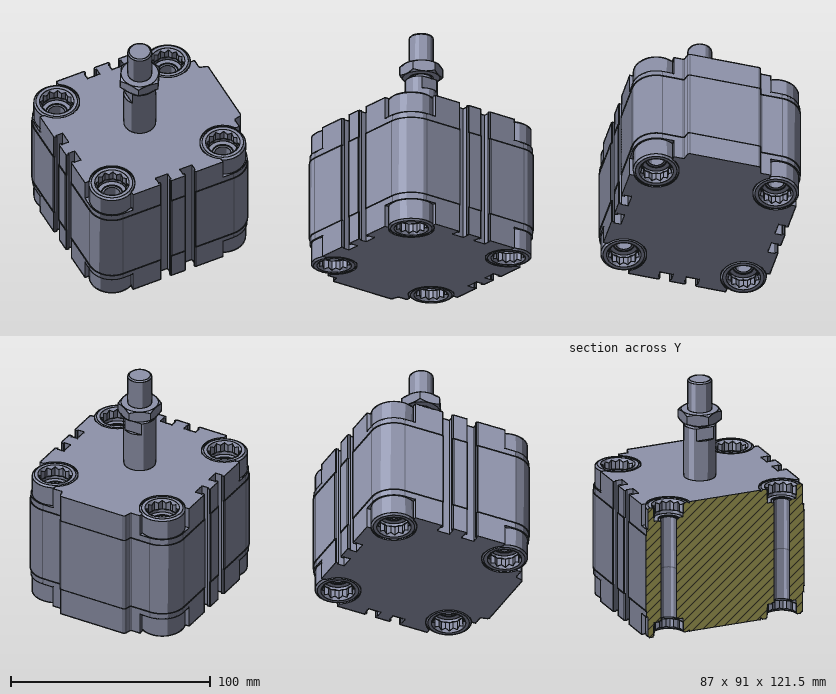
import cadquery as cq
import math


body_width = 87.0
body_height = 69.7
screw_spacing = 62.0
barrel_corner_radius = (body_width - screw_spacing) / 2
cap_height = 14.6
cap_inset = 0.4
cap_ledge_inset = 0.1

ledge_height = 4.0
ledge_base_width = 39.9
ledge_top_width = 37.7
ledge_top_radius = 1.2
ledge_foot_radius = 0.7

slot_offset = 6.8
slot_depth = 5.5
slot_inner_width = 6.8
slot_mouth_width = 5.2
slot_lip = 1.8
slot_mouth_chamfer = 0.5

pocket_depth = 11.3
pocket_edge = 25.2
head_diameter = 23.0
head_chamfer_width = 1.1
head_chamfer_height = 0.9

socket_rim_diameter = 17.3
socket_rim_angle = 50.0
socket_corner_diameter = 16.0
socket_points = 12
socket_spline_end = 5.7
socket_floor_diameter = 15.4
socket_depth = 7.5
bolt_hole_diameter = 8.3
seat_top_diameter = 10.7
seat_floor_diameter = 10.5
seat_depth = 0.5

total_height = 121.5
rod_diameter = 16.0
shoulder_z = 97.5
rod_flats_width = 13.0
rod_flats_length = 6.5
undercut_diameter = 10.5
thread_diameter = 12.0
thread_chamfer = 0.7

nut_width = 19.0
nut_height = 6.0
nut_bottom_z = 99.5
nut_face_diameter = 18.7
nut_chamfer_angle = 30.0


def cylinder(diameter, bottom_z, top_z):
    return cq.Workplane("XY").workplane(offset=bottom_z).circle(diameter / 2).extrude(top_z - bottom_z)


def cone(bottom_diameter, top_diameter, bottom_z, top_z):
    profile = [
        (0, bottom_z),
        (bottom_diameter / 2, bottom_z),
        (top_diameter / 2, top_z),
        (0, top_z),
    ]
    return cq.Workplane("XZ").polyline(profile).close().revolve(360, (0, 0, 0), (0, 1, 0))


def ledge(inset, side_y):
    """Sloping pad that rises from the +Y side at side_y."""
    top_y = body_width / 2 + ledge_height - inset
    half_base = ledge_base_width / 2 - inset
    half_top = ledge_top_width / 2 - inset
    outline = [
        (-half_base, 0),
        (-half_base, side_y),
        (-half_top, top_y),
        (half_top, top_y),
        (half_base, side_y),
        (half_base, 0),
    ]
    pad = cq.Workplane("XY").polyline(outline).close().extrude(body_height)
    return pad.faces(">Y").edges("|Z").fillet(ledge_top_radius)


def sensor_slot(side_angle, offset, side_distance):
    """T-shaped slot with a chamfered mouth, in the side at side_distance that faces side_angle."""
    lip_x = body_width / 2 - slot_lip
    half_mouth = slot_mouth_width / 2
    half_inner = slot_inner_width / 2
    half_profile = [
        (body_width / 2 - slot_depth, half_inner),
        (lip_x, half_inner),
        (lip_x, half_mouth),
        (side_distance - slot_mouth_chamfer, half_mouth),
        (side_distance, half_mouth + slot_mouth_chamfer),
    ]
    profile = half_profile + [(x, -y) for x, y in reversed(half_profile)]
    slot = cq.Workplane("XY").polyline(profile).close().extrude(body_height)
    return slot.translate((0, offset, 0)).rotate((0, 0, 0), (0, 0, 1), side_angle)


def housing_section(inset, ledge_inset, bottom_z, top_z):
    """Slotted profile between two heights, its sides set back by the insets."""
    width = body_width - 2 * inset
    profile = cq.Workplane("XY").rect(width, width).extrude(body_height)
    profile = profile.edges("|Z").fillet(barrel_corner_radius - inset)
    profile = profile.union(ledge(ledge_inset, width / 2))
    foot_x = ledge_base_width / 2 - ledge_inset
    for x in (-foot_x, foot_x):
        foot = cq.selectors.NearestToPointSelector((x, width / 2, body_height / 2))
        profile = profile.edges(foot).fillet(ledge_foot_radius)
    for side_angle in (0, 180, 270):
        for offset in (-slot_offset, slot_offset):
            profile = profile.cut(sensor_slot(side_angle, offset, width / 2))
    layer = cq.Workplane("XY").workplane(offset=bottom_z).rect(2 * body_width, 2 * body_width)
    return profile.intersect(layer.extrude(top_z - bottom_z))


def corner_pocket():
    """Pocket for the +X +Y screw at the top end, open at the housing's corner."""
    floor_z = body_height - pocket_depth
    size = body_width / 2 - pocket_edge
    corner = cq.Workplane("XY").box(size, size, pocket_depth, centered=False)
    corner = corner.translate((pocket_edge, pocket_edge, floor_z))
    bore = cylinder(head_diameter, floor_z, body_height)
    return corner.union(bore.translate((screw_spacing / 2, screw_spacing / 2, 0)))


def screw_head():
    floor_z = body_height - pocket_depth
    head = cylinder(head_diameter, floor_z, body_height)
    head = head.faces(">Z").chamfer(head_chamfer_height, head_chamfer_width)
    return head.translate((screw_spacing / 2, screw_spacing / 2, 0))


def socket():
    """Twelve-point socket of the +X +Y screw head, down to the middle of the housing."""
    corner_radius = socket_corner_diameter / 2
    side_distance = corner_radius * math.cos(math.pi / 6)
    valley_radius = side_distance / math.cos(math.pi / socket_points)
    outline = []
    for i in range(2 * socket_points):
        angle = math.pi * i / socket_points
        radius = corner_radius if i % 2 == 0 else valley_radius
        outline.append((radius * math.cos(angle), radius * math.sin(angle)))

    spline_end_z = body_height - socket_spline_end
    floor_z = body_height - socket_depth
    seat_z = floor_z - seat_depth
    rim_drop = (socket_rim_diameter / 2 - valley_radius) * math.tan(math.radians(socket_rim_angle))

    spline = cq.Workplane("XY").workplane(offset=spline_end_z).polyline(outline).close()
    tool = spline.extrude(socket_spline_end)
    tool = tool.union(cone(2 * valley_radius, socket_rim_diameter, body_height - rim_drop, body_height))
    tool = tool.union(cylinder(socket_floor_diameter, floor_z, spline_end_z))
    tool = tool.union(cone(seat_floor_diameter, seat_top_diameter, seat_z, floor_z))
    tool = tool.union(cylinder(bolt_hole_diameter, body_height / 2, seat_z))
    return tool.translate((screw_spacing / 2, screw_spacing / 2, 0))


def at_every_corner(shape):
    """Copies of a top +X +Y corner shape at all four corners of both ends."""
    copies = []
    for angle in (0, 90, 180, 270):
        upper = shape.rotate((0, 0, 0), (0, 0, 1), angle)
        copies.append(upper)
        copies.append(upper.mirror("XY", (0, 0, body_height / 2)))
    return copies


def make_housing():
    top_cap_z = body_height - cap_height
    housing = housing_section(0, 0, cap_height, top_cap_z)
    housing = housing.union(housing_section(cap_inset, cap_ledge_inset, 0, cap_height))
    housing = housing.union(housing_section(cap_inset, cap_ledge_inset, top_cap_z, body_height))
    housing = housing.clean()
    for pocket in at_every_corner(corner_pocket()):
        housing = housing.cut(pocket)
    for head in at_every_corner(screw_head()):
        housing = housing.union(head)
    for recess in at_every_corner(socket()):
        housing = housing.cut(recess)
    return housing


def make_rod():
    flats_z = shoulder_z - rod_flats_length
    rod = cylinder(rod_diameter, body_height, shoulder_z)
    flats = cq.Workplane("XY").workplane(offset=flats_z).rect(rod_diameter, rod_flats_width)
    rod = rod.intersect(cylinder(rod_diameter, body_height, flats_z).union(flats.extrude(rod_flats_length)))
    rod = rod.union(cylinder(undercut_diameter, shoulder_z, nut_bottom_z))
    thread = cylinder(thread_diameter, nut_bottom_z, total_height).faces(">Z").chamfer(thread_chamfer)
    return rod.union(thread)


def make_nut():
    corner_diameter = nut_width / math.cos(math.pi / 6)
    hexagon = cq.Workplane("XY").polygon(6, corner_diameter).extrude(nut_height)
    nut = hexagon.rotate((0, 0, 0), (0, 0, 1), 90)
    rise = (corner_diameter - nut_face_diameter) / 2 * math.tan(math.radians(nut_chamfer_angle))
    envelope = cone(nut_face_diameter, corner_diameter, 0, rise)
    envelope = envelope.union(cylinder(corner_diameter, rise, nut_height - rise))
    envelope = envelope.union(cone(corner_diameter, nut_face_diameter, nut_height - rise, nut_height))
    nut = nut.intersect(envelope).cut(cylinder(thread_diameter, 0, nut_height))
    return nut.translate((0, 0, nut_bottom_z))


housing = make_housing()
rod = make_rod()
nut = make_nut()

result = cq.Compound.makeCompound([housing.val(), rod.val(), nut.val()])